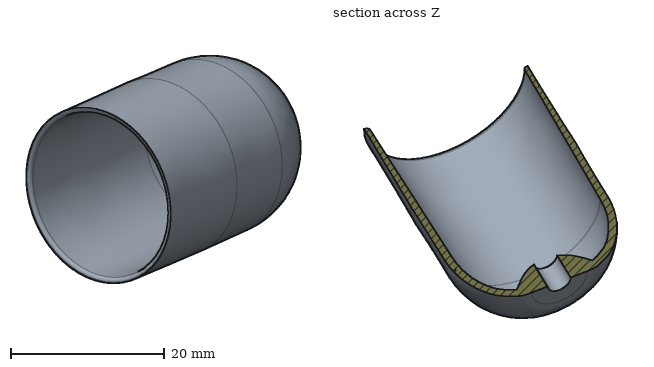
import cadquery as cq
import math


max_radius = 12.0
end_radius = 11.9
skirt_length = 14.0
shoulder_length = 9.8
dome_height = 10.0
tip_flat_radius = 4.0

mouth_radius = 11.2
cavity_end_radius = 10.75
mouth_round = 0.5

boss_base_radius = 5.5
boss_crown_radius = 4.33
boss_slope = math.radians(45)
hole_radius = 1.65

wall = end_radius - cavity_end_radius
dome_start = skirt_length + shoulder_length
total_length = dome_start + dome_height
cavity_dome_height = dome_height - wall
cavity_depth = dome_start + cavity_dome_height


def add_dome(profile, start_radius, height):
    """Continue a profile along a quarter ellipse from the side wall to the tip flat."""
    segments = 6
    points = []
    for i in range(1, segments + 1):
        angle = math.pi / 2 * i / segments
        radius = tip_flat_radius + (start_radius - tip_flat_radius) * math.cos(angle)
        points.append((radius, dome_start + height * math.sin(angle)))
    return profile.spline(points, tangents=[(0, 1), (-1, 0)], includeCurrent=True)


def dome_station(radius, start_radius, height):
    """Y position on a dome at the given radius."""
    across = (radius - tip_flat_radius) / (start_radius - tip_flat_radius)
    return dome_start + height * math.sqrt(1 - across ** 2)


def revolve_about_y(profile):
    return profile.close().revolve(360, (0, 0, 0), (0, 1, 0))


def make_shell():
    outside = cq.Workplane("XY").lineTo(end_radius, 0)
    outside = outside.lineTo(max_radius, skirt_length).lineTo(end_radius, dome_start)
    outside = add_dome(outside, end_radius, dome_height).lineTo(0, total_length)

    inside = cq.Workplane("XY").lineTo(mouth_radius, 0).lineTo(cavity_end_radius, dome_start)
    inside = add_dome(inside, cavity_end_radius, cavity_dome_height).lineTo(0, cavity_depth)

    shell = revolve_about_y(outside).cut(revolve_about_y(inside))
    inner_rim_edge = shell.faces("<Y").edges(cq.selectors.RadiusNthSelector(0))
    return inner_rim_edge.fillet(mouth_round)


def make_boss():
    """45 degree cone rising from the cavity dome, capped by a sphere tangent to it."""
    cone_start = dome_station(boss_base_radius, cavity_end_radius, cavity_dome_height)
    crown_start = cone_start - (boss_base_radius - boss_crown_radius) * math.tan(boss_slope)
    sphere_radius = boss_crown_radius / math.sin(boss_slope)
    sphere_center = crown_start + sphere_radius * math.cos(boss_slope)
    mid_angle = boss_slope / 2
    crown_middle = (
        sphere_radius * math.sin(mid_angle),
        sphere_center - sphere_radius * math.cos(mid_angle),
    )
    root_depth = wall / 2
    root = cone_start + root_depth
    root_radius = boss_base_radius + root_depth / math.tan(boss_slope)
    profile = cq.Workplane("XY").moveTo(0, root).lineTo(root_radius, root)
    profile = profile.lineTo(boss_crown_radius, crown_start)
    profile = profile.threePointArc(crown_middle, (0, sphere_center - sphere_radius))
    return revolve_about_y(profile)


def make_hole():
    return cq.Workplane("XZ").circle(hole_radius).extrude(-total_length)


result = make_shell().union(make_boss()).cut(make_hole())